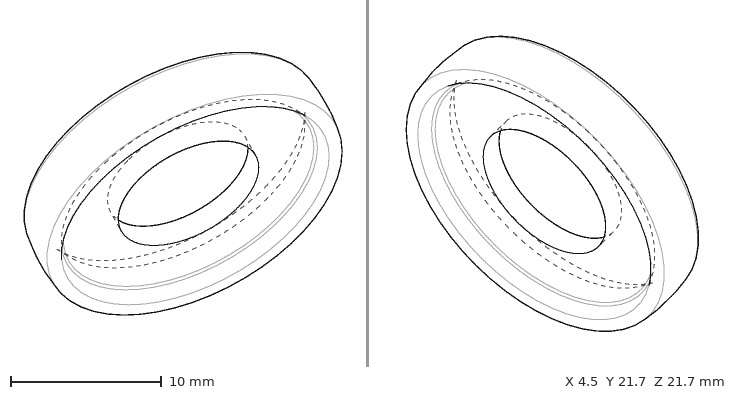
import cadquery as cq
import math

outer_radius = 10.85
width = 4.5
bore_radius = 5.1
web_thickness = 1.73
crown_radius = 12.15
rim_radius = 0.52
wall_angle = math.radians(24)
root_radius = 0.22

web_face = web_thickness / 2
crown_center = (0, outer_radius - crown_radius)
rim_x = width / 2 - rim_radius
center_distance = crown_radius - rim_radius
rim_center = (rim_x, crown_center[1] + math.sqrt(center_distance**2 - rim_x**2))
root_x = web_face + root_radius
wall_rise = rim_radius + root_radius + (rim_x - root_x) * math.sin(wall_angle)
root_center = (root_x, rim_center[1] - wall_rise / math.cos(wall_angle))


def on_circle(center, radius, angle):
    """Point on a profile circle, with the angle measured from +X toward the outside."""
    return (center[0] + radius * math.cos(angle), center[1] + radius * math.sin(angle))


def mirrored(point):
    """Point reflected across the middle plane of the ring."""
    return (-point[0], point[1])


crown_end_angle = math.atan2(rim_center[1] - crown_center[1], rim_x)
crown_end = on_circle(rim_center, rim_radius, crown_end_angle)
rim_end_angle = wall_angle - math.pi / 2
rim_middle = on_circle(rim_center, rim_radius, (crown_end_angle + rim_end_angle) / 2)
rim_end = on_circle(rim_center, rim_radius, rim_end_angle)
root_start_angle = wall_angle + math.pi / 2
root_start = on_circle(root_center, root_radius, root_start_angle)
root_middle = on_circle(root_center, root_radius, (root_start_angle + math.pi) / 2)
root_end = on_circle(root_center, root_radius, math.pi)

profile = (
    cq.Workplane("XY")
    .moveTo(-web_face, bore_radius)
    .lineTo(web_face, bore_radius)
    .lineTo(*root_end)
    .threePointArc(root_middle, root_start)
    .lineTo(*rim_end)
    .threePointArc(rim_middle, crown_end)
    .threePointArc((0, outer_radius), mirrored(crown_end))
    .threePointArc(mirrored(rim_middle), mirrored(rim_end))
    .lineTo(*mirrored(root_start))
    .threePointArc(mirrored(root_middle), mirrored(root_end))
    .close()
)

result = profile.revolve(360, (0, 0, 0), (1, 0, 0))